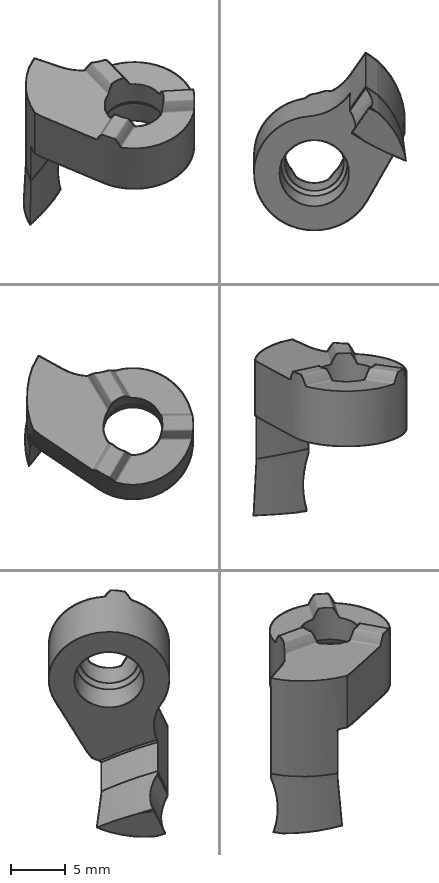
import cadquery as cq
import math


tolerance = 0.002

head_diameter = 11.0
head_radius = head_diameter / 2
head_height = 5.31
hole_diameter = 5.4
neck_y = 1.54
neck_blend_radius = 5.0
arm_end_x = -10.79
arm_flat_end = (-10.72, 0.23)
arm_arc_middle = (-9.52, -2.8)
arm_arc_end = (-7.78, -4.75)
arm_corner = (-7.01, -4.9)

taper_top_z = 3.0
seat_radius = 3.0
seat_neck_height = 0.27
seat_top_z = 2.2
seat_mouth_radius = 3.17

ridge_length = 8.35
ridge_count = 3
ridge_first_angle = 30
ridge_height = 0.97
ridge_base_half_width = 1.2
ridge_top_half_width = 0.63
ridge_flank_bulge = 0.05
ridge_top_round = 0.18
ridge_root_fillet = 0.2

stem_fillet = 0.15
stem_end_y = -4.1
stem_inner_x = -8.18
stem_inner_bulge = (-8.25, -1.84)

joint_z = -4.5
flare_z = -4.93
tip_bottom_z = -10.42
flare = 0.22
flare_end = 0.43
rake_middle = (0.85, -8.02)
rake_edge_y = 1.25
bottom_relief_angle = 5.8
corner_bevel = 0.15


def circle_through(a, b, c):
    """Centre and radius of the circle through three points."""
    d = 2 * (a[0] * (b[1] - c[1]) + b[0] * (c[1] - a[1]) + c[0] * (a[1] - b[1]))
    sa, sb, sc = (p[0] ** 2 + p[1] ** 2 for p in (a, b, c))
    x = (sa * (b[1] - c[1]) + sb * (c[1] - a[1]) + sc * (a[1] - b[1])) / d
    y = (sa * (c[0] - b[0]) + sb * (a[0] - c[0]) + sc * (b[0] - a[0])) / d
    return x, y, math.hypot(a[0] - x, a[1] - y)


arc_x, arc_y, arc_radius = circle_through(arm_flat_end, arm_arc_middle, arm_arc_end)


def outer_arc_point(y, growth=0):
    """Point at height y on the arm's outer arc, offset outwards by growth."""
    return arc_x - math.sqrt((arc_radius + growth) ** 2 - (y - arc_y) ** 2), y


def head_prism(height):
    """Head outline, a round eye with an arm, extruded upwards."""
    blend_y = neck_y + neck_blend_radius
    center_distance = head_radius + neck_blend_radius
    blend_x = -math.sqrt(center_distance**2 - blend_y**2)
    blend_end = (blend_x * head_radius / center_distance, blend_y * head_radius / center_distance)
    half_turn = (math.atan2(blend_end[1] - blend_y, blend_end[0] - blend_x) + math.pi / 2) / 2
    blend_middle = (
        blend_x + neck_blend_radius * math.sin(half_turn),
        blend_y - neck_blend_radius * math.cos(half_turn),
    )
    corner_angle = math.atan2(arm_corner[1], arm_corner[0])
    tangent_angle = corner_angle + math.acos(head_radius / math.hypot(*arm_corner))
    tangent = (head_radius * math.cos(tangent_angle), head_radius * math.sin(tangent_angle))
    return (
        cq.Workplane("XY")
        .moveTo(arm_end_x, neck_y)
        .lineTo(blend_x, neck_y)
        .threePointArc(blend_middle, blend_end)
        .threePointArc((head_radius, 0), tangent)
        .lineTo(*arm_corner)
        .lineTo(*arm_arc_end)
        .threePointArc(arm_arc_middle, arm_flat_end)
        .close()
        .extrude(height)
    )


def stem_outline(z, growth=0, end_growth=0):
    """Closed blade outline at level z, enlarged sideways and along -Y."""
    low_y = stem_end_y - end_growth
    outer_end = outer_arc_point(low_y, growth)
    return (
        cq.Workplane("XY", origin=(0, 0, z))
        .moveTo(arm_end_x - growth, neck_y)
        .lineTo(stem_inner_x + growth, neck_y)
        .threePointArc((stem_inner_bulge[0] + growth, stem_inner_bulge[1]), outer_end)
        .threePointArc(
            outer_arc_point((arm_flat_end[1] + low_y) / 2, growth),
            outer_arc_point(arm_flat_end[1], growth),
        )
        .close()
    )


def hole_cutter():
    """Screw hole, widened from below by a taper, a short straight neck and a flared seat."""
    radius = hole_diameter / 2
    return (
        cq.Workplane("XZ")
        .moveTo(0, 0)
        .lineTo(seat_mouth_radius, 0)
        .lineTo(seat_radius, seat_top_z)
        .lineTo(seat_radius, seat_top_z + seat_neck_height)
        .lineTo(radius, taper_top_z)
        .lineTo(radius, head_height + ridge_height)
        .lineTo(0, head_height + ridge_height)
        .close()
        .revolve(360, (0, 0), (0, 1))
    )


def ridge_bar(angle):
    """Bar with gently bulged flanks running outwards from the hole axis, with rounded top edges."""
    top_z = head_height + ridge_height
    middle_z = head_height + ridge_height / 2
    middle_half_width = (ridge_base_half_width + ridge_top_half_width) / 2 + ridge_flank_bulge
    return (
        cq.Workplane("YZ")
        .moveTo(-ridge_base_half_width, head_height)
        .threePointArc((-middle_half_width, middle_z), (-ridge_top_half_width, top_z))
        .lineTo(ridge_top_half_width, top_z)
        .threePointArc((middle_half_width, middle_z), (ridge_base_half_width, head_height))
        .lineTo(ridge_base_half_width, 0)
        .lineTo(-ridge_base_half_width, 0)
        .close()
        .extrude(ridge_length)
        .edges("|X and >Z")
        .fillet(ridge_top_round)
        .rotate((0, 0, 0), (0, 0, 1), angle)
    )


def ridge_root_edges(body):
    """Edges where the ridge flanks meet the top face of the head."""
    found = []
    for edge in body.edges("#Z").vals():
        middle = edge.Center()
        on_top = abs(middle.z - head_height) < tolerance
        if not on_top or edge.geomType() != "LINE":
            continue
        for number in range(ridge_count):
            angle = math.radians(ridge_first_angle + number * 360 / ridge_count)
            across = middle.y * math.cos(angle) - middle.x * math.sin(angle)
            along = middle.x * math.cos(angle) + middle.y * math.sin(angle)
            if along > 0 and abs(abs(across) - ridge_base_half_width) < tolerance:
                found.append(edge)
    return found


def make_holder():
    """Head with its ridges and screw hole, and the stem hanging below its arm."""
    ridges = cq.Workplane("XY")
    for number in range(ridge_count):
        ridges = ridges.union(ridge_bar(ridge_first_angle + number * 360 / ridge_count))
    ridges = ridges.intersect(head_prism(head_height + ridge_height))
    head = head_prism(head_height).union(ridges).cut(hole_cutter())
    head = head.newObject(ridge_root_edges(head)).fillet(ridge_root_fillet)

    stem = stem_outline(joint_z).extrude(-joint_z)
    holder = head.union(stem)
    reach = 0.5
    root = cq.selectors.BoxSelector(
        (stem_inner_x - reach, stem_end_y, -tolerance),
        (stem_inner_x + reach, neck_y - tolerance, tolerance),
    )
    return holder.edges(root).fillet(stem_fillet)


def rake_cutter():
    """Hollow along X on the +Y side of the tip, ground from the flare to the cutting edge."""
    return (
        cq.Workplane("YZ", origin=(2 * arm_end_x, 0, 0))
        .moveTo(neck_y, flare_z)
        .threePointArc(rake_middle, (rake_edge_y, tip_bottom_z))
        .lineTo(2 * neck_y, tip_bottom_z)
        .lineTo(2 * neck_y, flare_z)
        .close()
        .extrude(-2 * arm_end_x)
    )


def bottom_cutter():
    """Everything below the sloping bottom face and the two bevels at the cutting edge."""
    drop = 3.34
    left = arm_end_x - flare
    right = stem_inner_x + flare
    back_y = 2 * stem_end_y
    rise = (rake_edge_y - back_y) * math.tan(math.radians(bottom_relief_angle))
    cutter = (
        cq.Workplane("YZ", origin=(2 * arm_end_x, 0, 0))
        .moveTo(rake_edge_y, tip_bottom_z)
        .lineTo(back_y, tip_bottom_z + rise)
        .lineTo(back_y, tip_bottom_z - drop)
        .lineTo(rake_edge_y, tip_bottom_z - drop)
        .close()
        .extrude(-2 * arm_end_x)
    )
    for x, inward in ((left, 1), (right, -1)):
        bevel = (
            cq.Workplane("XZ", origin=(0, neck_y, 0))
            .moveTo(x - inward * corner_bevel, tip_bottom_z + 2 * corner_bevel)
            .lineTo(x + inward * corner_bevel, tip_bottom_z)
            .lineTo(x - inward * corner_bevel, tip_bottom_z)
            .close()
            .extrude(neck_y - stem_end_y + flare_end)
        )
        cutter = cutter.union(bevel)
    return cutter


def make_tip():
    """Cutting tip: a short straight band, then a flared blade with a hollow rake face."""
    band = stem_outline(joint_z).extrude(flare_z - joint_z)
    top_wire = stem_outline(flare_z).val()
    bottom_wire = stem_outline(tip_bottom_z, flare, flare_end).val()
    blade = cq.Workplane(cq.Solid.makeLoft([top_wire, bottom_wire], True))
    return band.union(blade).cut(rake_cutter()).cut(bottom_cutter())


holder = make_holder()
tip = make_tip()
result = cq.Compound.makeCompound([holder.val(), tip.val()])